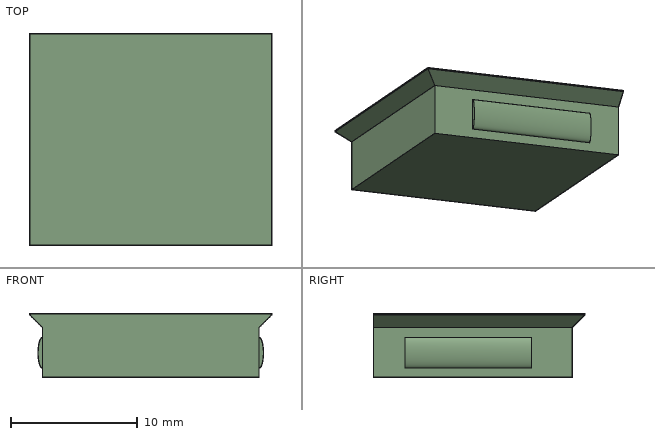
import cadquery as cq

plate_x = 19.15
plate_y = 16.75
height = 5.04

flare = 1.0
lip = 0.1

ridge_length = 10.0
ridge_height = 2.43
ridge_bulge = 0.35
ridge_front_gap = 2.5
ridge_mid_z = 1.93

body_x = plate_x - 2 * flare
body_y = plate_y - flare
lip_bottom = height - lip
body_top = lip_bottom - flare


def make_body():
    """Straight block with its front face at Y = 0."""
    return cq.Workplane("XY").box(body_x, body_y, height, centered=(True, False, False))


def make_flared_plate():
    """Plate with a sloped underside on three sides and a flush front face."""
    side_profile = [
        (-body_x / 2, body_top),
        (body_x / 2, body_top),
        (plate_x / 2, lip_bottom),
        (plate_x / 2, height),
        (-plate_x / 2, height),
        (-plate_x / 2, lip_bottom),
    ]
    back_profile = [
        (0, body_top),
        (body_y, body_top),
        (plate_y, lip_bottom),
        (plate_y, height),
        (0, height),
    ]
    across = cq.Workplane("XZ").polyline(side_profile).close().extrude(-plate_y)
    along = cq.Workplane("YZ").polyline(back_profile).close().extrude(plate_x / 2, both=True)
    return across.intersect(along)


def make_ridge(wall_x):
    """Elliptical bar centred on a side face, half sunk in the body."""
    return (
        cq.Workplane("XZ", origin=(wall_x, ridge_front_gap, ridge_mid_z))
        .ellipse(ridge_bulge, ridge_height / 2)
        .extrude(-ridge_length)
    )


result = make_body().union(make_flared_plate())
for wall_x in (-body_x / 2, body_x / 2):
    result = result.union(make_ridge(wall_x))